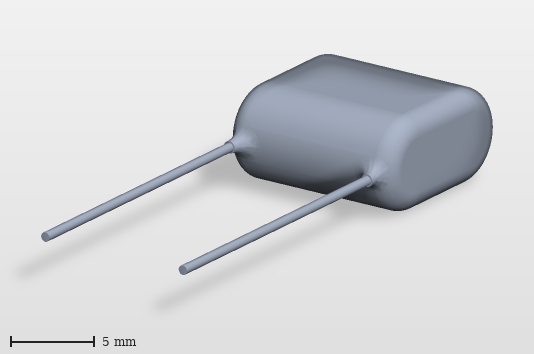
import cadquery as cq

overall_length = 31.5

case_width = 12.0
case_height = case_width / 2
case_length = 11.5
side_edge_radius = 1.2

collar_diameter = 0.8
collar_length = 0.95
collar_flare_radius = 1.2

lead_diameter = 0.6
lead_pitch = 10.02

case_front_y = -case_length / 2
collar_tip_y = case_front_y - collar_length
lead_length = overall_length - case_length - collar_length
lead_positions = [-lead_pitch / 2, lead_pitch / 2]


def make_rod(x, start_y, diameter, length):
    """Round rod along -Y that starts at the given X and Y."""
    return (
        cq.Workplane("XZ", origin=(x, start_y, 0))
        .circle(diameter / 2)
        .extrude(length)
    )


def make_rounded_block():
    """Stadium profile extruded across X, with both end outlines rounded."""
    return (
        cq.Workplane("YZ")
        .slot2D(case_length, case_height)
        .extrude(case_width / 2, both=True)
        .faces("<X or >X")
        .edges()
        .fillet(side_edge_radius)
    )


def find_collar_joint(case, x):
    """Edges where the collar at X meets the rounded front of the case."""
    margin = 0.03
    reach = collar_diameter / 2 + margin
    return case.edges(
        cq.selectors.BoxSelector(
            (x - reach, collar_tip_y + margin, -reach),
            (x + reach, case_front_y + case_height / 2, reach),
            boundingbox=True,
        )
    )


def make_case():
    """Rounded block with a flared collar for each lead."""
    case = make_rounded_block()
    for x in lead_positions:
        collar = make_rod(x, 0, collar_diameter, -collar_tip_y)
        case = case.union(collar)
    for x in lead_positions:
        case = find_collar_joint(case, x).fillet(collar_flare_radius)
    return case


def make_lead(x):
    """Wire that butts against the tip of the collar at X."""
    return make_rod(x, collar_tip_y, lead_diameter, lead_length)


case = make_case()
leads = [make_lead(x) for x in lead_positions]

result = cq.Compound.makeCompound([case.val(), *[lead.val() for lead in leads]])